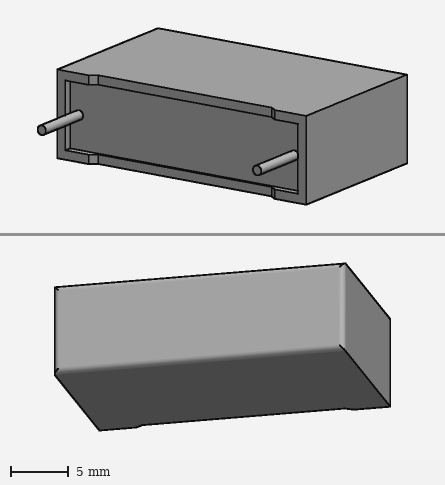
import cadquery as cq


width = 26.0
height = 8.0
depth = 16.02
wall = 0.85
back_edge_radius = 0.5

relief_depth = 0.5
relief_mouth_inset = 3.28
relief_floor_inset = 3.95

resin_recess = 0.75
cavity_width = width - 2 * wall
cavity_height = height - 2 * wall

pin_diameter = 0.88
pin_spacing = 22.5
pin_reach = 5.0


def box_from(y_start, y_end, size_x, size_z):
    """Box centred on X and Z that spans y_start to y_end."""
    return cq.Workplane("XY").box(
        size_x, y_end - y_start, size_z, centered=(True, False, True)
    ).translate((0, y_start, 0))


def make_rim_relief():
    """Trapezoid cutter through both long walls, widest at the rim."""
    mouth = width / 2 - relief_mouth_inset
    floor = width / 2 - relief_floor_inset
    return (
        cq.Workplane("XY")
        .polyline([(-mouth, 0), (mouth, 0), (floor, relief_depth), (-floor, relief_depth)])
        .close()
        .extrude(height / 2, both=True)
    )


def make_housing():
    """Box with rounded back edges, open at the front."""
    shell = box_from(0, depth, width, height).faces(">Y").edges().fillet(back_edge_radius)
    cavity = box_from(0, depth - wall, cavity_width, cavity_height)
    return shell.cut(cavity).cut(make_rim_relief())


def make_resin():
    """Block that fills the cavity up to the recessed resin face."""
    return box_from(resin_recess, depth - wall, cavity_width, cavity_height)


def make_pin(x):
    """Round lead that stands on the resin face."""
    return (
        cq.Workplane("XZ", origin=(x, resin_recess, 0))
        .circle(pin_diameter / 2)
        .extrude(resin_recess + pin_reach)
    )


housing = make_housing()
resin = make_resin()
pins = [make_pin(side * pin_spacing / 2) for side in (-1, 1)]

result = cq.Compound.makeCompound([housing.val(), resin.val(), *[pin.val() for pin in pins]])